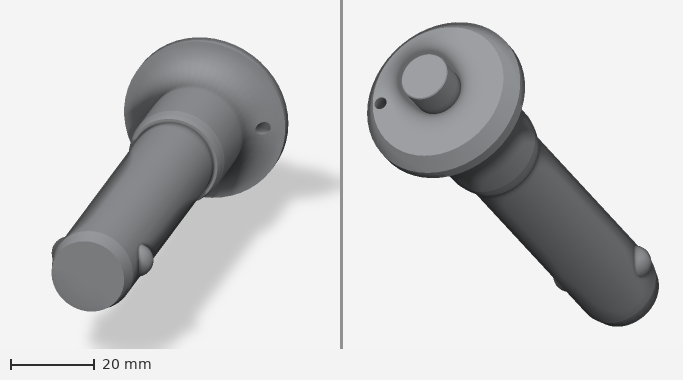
import cadquery as cq
import math

total_length = 120.1

button_radius = 6.0
head_radius = 20.0
head_back_radius = 17.0
sleeve_radius = 11.8
sleeve_step_radius = 11.4
sleeve_end_radius = 11.0
shaft_radius = 10.03
tip_radius = 9.0

button_length = 8.4
button_chamfer = 0.2
head_bevel_length = 3.4
rim_length = 2.9
sleeve_length = 16.7
sleeve_taper_length = 2.2
sleeve_end_length = 1.5
tip_length = 4.2

ball_radius = 4.0
ball_reach = 12.5
ball_from_tip = 13.3
lanyard_hole_radius = 1.6
lanyard_hole_offset = 15.0

button_y = total_length / 2
tip_y = -total_length / 2
head_back_y = button_y - button_length
rim_back_y = head_back_y - head_bevel_length
rim_front_y = rim_back_y - rim_length
flare_radius = head_radius - sleeve_radius
sleeve_start_y = rim_front_y - flare_radius
sleeve_taper_y = sleeve_start_y - sleeve_length
sleeve_step_y = sleeve_taper_y - sleeve_taper_length
sleeve_end_y = sleeve_step_y - sleeve_end_length
tip_start_y = tip_y + tip_length


def turned_body():
    """Button, flared head, sleeve and shaft revolved from one half profile."""
    flare_drop = flare_radius * math.sin(math.pi / 4)
    flare_middle = (head_radius - flare_drop, sleeve_start_y + flare_drop)
    profile = (
        cq.Workplane("XY")
        .moveTo(0, button_y)
        .lineTo(button_radius - button_chamfer, button_y)
        .lineTo(button_radius, button_y - button_chamfer)
        .lineTo(button_radius, head_back_y)
        .lineTo(head_back_radius, head_back_y)
        .lineTo(head_radius, rim_back_y)
        .lineTo(head_radius, rim_front_y)
        .threePointArc(flare_middle, (sleeve_radius, sleeve_start_y))
        .lineTo(sleeve_radius, sleeve_taper_y)
        .lineTo(sleeve_step_radius, sleeve_step_y)
        .lineTo(sleeve_end_radius, sleeve_end_y)
        .lineTo(shaft_radius, sleeve_end_y)
        .lineTo(shaft_radius, tip_start_y)
        .lineTo(tip_radius, tip_y)
        .lineTo(0, tip_y)
        .close()
    )
    return profile.revolve(360, (0, 0, 0), (0, 1, 0))


def locking_ball(side):
    """Ball protruding from the shaft on the +X (side = 1) or -X (side = -1) flank."""
    center_x = side * (ball_reach - ball_radius)
    return cq.Workplane("XY").sphere(ball_radius).translate((center_x, tip_y + ball_from_tip, 0))


def lanyard_hole():
    """Cutter for the hole through the head, parallel to the pin axis."""
    return (
        cq.Workplane("XZ", origin=(lanyard_hole_offset, head_back_y, 0))
        .circle(lanyard_hole_radius)
        .extrude(head_back_y - sleeve_start_y)
    )


result = turned_body().cut(lanyard_hole())
for side in (-1, 1):
    result = result.union(locking_ball(side))